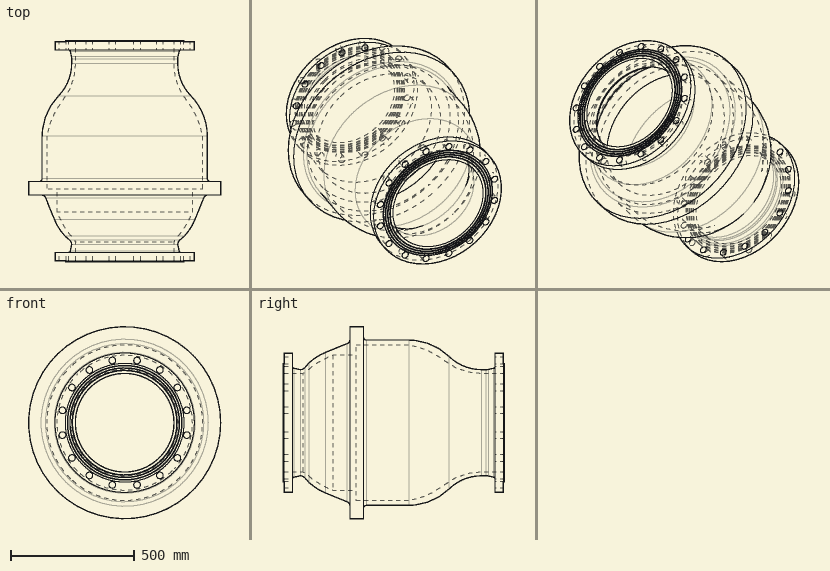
import cadquery as cq

length = 900.0
front = -length / 2

flange_radius = 566.0 / 2
face_radius = 241.0
face_height = 5.0
flange_end = 40.0
hub_fillet = 6.0
hub_root_radius = 221.0
hub_tip_radius = 217.0
hub_length = 26.0
hub_blend_length = 10.0
bolt_count = 16
bolt_circle_radius = 257.0
bolt_hole_diameter = 27.0

groove_radii = (212.0, 222.0, 232.0)
groove_width = 2.0
groove_depth = 2.0

neck_radius = 432.0 / 2
bore_radius = 400.0 / 2

joint_radius = 780.0 / 2
joint_front = 272.0
joint_back = 328.0
joint_fillet = 11.0
joint_root_radius = 339.0
joint_root_fillet = 18.0

root_start = 71.0
root_end = (225.0, 90.0)
steep_cone_end = (243.0, 105.0)
knuckle_end = (286.0, 174.0)
long_cone_end = (321.0, 260.0)

body_radius = 672.0 / 2
shoulder_start = 511.0
inflection = (269.0, 675.0)
neck_start = 805.5

front_bore_end = 81.0
bore_lip = (205.0, 93.0)
cavity_cone_start = (271.0, 193.5)
seat_radius = 274.5
seat_start = 202.5
chamber_radius = 632.0 / 2
chamber_start = 297.0
inflection_wall = 18.0


def at(radius, distance):
    """Profile point at a radius and a distance from the front face."""
    return (radius, front + distance)


def outer_body():
    """Solid of revolution bounded by the outside of the part, drawn from rear to front."""
    back_hub = length - flange_end
    return (
        cq.Workplane("XY")
        .moveTo(*at(0, 0))
        .lineTo(*at(0, length))
        .lineTo(*at(face_radius, length))
        .lineTo(*at(face_radius, length - face_height))
        .lineTo(*at(flange_radius, length - face_height))
        .lineTo(*at(flange_radius, back_hub))
        .lineTo(*at(hub_root_radius + hub_fillet, back_hub))
        .radiusArc(at(hub_root_radius, back_hub - hub_fillet), -hub_fillet)
        .lineTo(*at(hub_tip_radius, back_hub - hub_length))
        .tangentArcPoint(at(neck_radius, back_hub - hub_length - hub_blend_length), relative=False)
        .lineTo(*at(neck_radius, neck_start))
        .tangentArcPoint(at(*inflection), relative=False)
        .tangentArcPoint(at(body_radius, shoulder_start), relative=False)
        .lineTo(*at(body_radius, joint_back + joint_fillet))
        .radiusArc(at(body_radius + joint_fillet, joint_back), -joint_fillet)
        .lineTo(*at(joint_radius, joint_back))
        .lineTo(*at(joint_radius, joint_front))
        .lineTo(*at(joint_root_radius, joint_front))
        .radiusArc(at(*long_cone_end), -joint_root_fillet)
        .lineTo(*at(*knuckle_end))
        .tangentArcPoint(at(*steep_cone_end), relative=False)
        .lineTo(*at(*root_end))
        .tangentArcPoint(at(neck_radius, root_start), relative=False)
        .lineTo(*at(hub_root_radius, flange_end + hub_fillet))
        .radiusArc(at(hub_root_radius + hub_fillet, flange_end), -hub_fillet)
        .lineTo(*at(flange_radius, flange_end))
        .lineTo(*at(flange_radius, face_height))
        .lineTo(*at(face_radius, face_height))
        .lineTo(*at(face_radius, 0))
        .close()
        .revolve(360, (0, 0, 0), (0, 1, 0))
    )


def cavity():
    """Flow passage through the whole length, drawn from rear to front."""
    inner_inflection = (inflection[0] - inflection_wall, inflection[1] - inflection_wall)
    return (
        cq.Workplane("XY")
        .moveTo(*at(0, 0))
        .lineTo(*at(0, length))
        .lineTo(*at(bore_radius, length))
        .lineTo(*at(bore_radius, neck_start))
        .tangentArcPoint(at(*inner_inflection), relative=False)
        .tangentArcPoint(at(chamber_radius, shoulder_start), relative=False)
        .lineTo(*at(chamber_radius, chamber_start))
        .lineTo(*at(seat_radius, chamber_start))
        .lineTo(*at(seat_radius, seat_start))
        .lineTo(*at(*cavity_cone_start))
        .tangentArcPoint(at(*bore_lip), relative=False)
        .lineTo(*at(bore_radius, front_bore_end))
        .lineTo(*at(bore_radius, 0))
        .close()
        .revolve(360, (0, 0, 0), (0, 1, 0))
    )


def ring_groove(radius):
    """Shallow ring groove in the front raised face."""
    return (
        cq.Workplane("XZ", origin=(0, front, 0))
        .circle(radius + groove_width / 2)
        .circle(radius - groove_width / 2)
        .extrude(-groove_depth)
    )


def bolt_holes():
    """Holes through the front flange, straddling the X and Z axes."""
    return (
        cq.Workplane("XZ", origin=(0, front, 0))
        .polarArray(bolt_circle_radius, 180 / bolt_count, 360, bolt_count)
        .circle(bolt_hole_diameter / 2)
        .extrude(-flange_end)
    )


result = outer_body().cut(cavity())

flange_cuts = [bolt_holes()] + [ring_groove(radius) for radius in groove_radii]
for cutter in flange_cuts:
    result = result.cut(cutter).cut(cutter.mirror("XZ"))